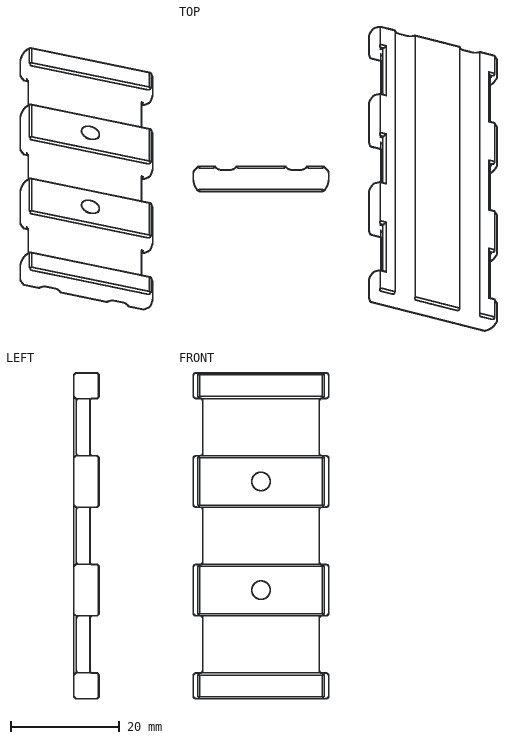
import cadquery as cq
import math

LENGTH = 60.0

BLOCK_WIDTH = 25.0
BLOCK_DEPTH = 4.7
BLOCK_HEIGHT = 9.5
BLOCK_PITCH = 20.0
BLOCK_CENTERS_Z = [(index - 1.5) * BLOCK_PITCH for index in range(4)]
BLOCK_BACK_CORNER_CHAMFER = 1.0
BLOCK_BACK_CORNER_FILLET = 1.0
BLOCK_SIDE_RADIUS = 3.5
BLOCK_SIDE_FLAT_END = 2.25
BLOCK_FRONT_CORNER_CHAMFER = 0.25
BLOCK_LONG_EDGE_CHAMFER = 0.4
BLOCK_END_FILLET = 0.6

BAR_WIDTH = 21.5
BAR_DEPTH = 3.0
BAR_BACK_CHAMFER = 0.5
BAR_SIDE_RADIUS = 2.0
ROOT_FILLET = 0.4

RECESS_HALF_WIDTH = 5.87
RECESS_DEPTH = 1.4
RECESS_FILLET = 1.1
RECESS_WALL_ANGLE = 45.0

GROOVE_X = 6.5
GROOVE_DEPTH = 0.7
GROOVE_HALF_WIDTH = 2.0
GROOVE_FLOOR_HALF_WIDTH = 0.8

HOLE_DIAMETER = 3.4
HOLE_DEPTH = 3.0

PICK_REACH = 0.01


def extrude_along_z(profile, z_low, z_high):
    return profile.extrude(z_high - z_low).translate((0, 0, z_low))


def box_selector(x_range, y_range, z_range, whole=False):
    """Picks edges centred in the box, or lying wholly inside it."""
    low = [limits[0] - PICK_REACH for limits in (x_range, y_range, z_range)]
    high = [limits[1] + PICK_REACH for limits in (x_range, y_range, z_range)]
    return cq.selectors.BoxSelector(low, high, boundingbox=whole)


def make_groove(center_x):
    """Flat-floored groove whose sides are arcs tangent to the floor."""
    run = GROOVE_HALF_WIDTH - GROOVE_FLOOR_HALF_WIDTH
    radius = (run**2 + GROOVE_DEPTH**2) / (2 * GROOVE_DEPTH)
    half_sweep = math.atan2(GROOVE_DEPTH, run)
    middle_x = GROOVE_FLOOR_HALF_WIDTH + radius * math.sin(half_sweep)
    middle_y = -GROOVE_DEPTH + radius * (1 - math.cos(half_sweep))
    profile = (
        cq.Workplane("XY")
        .moveTo(-GROOVE_FLOOR_HALF_WIDTH, -GROOVE_DEPTH)
        .lineTo(GROOVE_FLOOR_HALF_WIDTH, -GROOVE_DEPTH)
        .threePointArc((middle_x, middle_y), (GROOVE_HALF_WIDTH, 0))
        .lineTo(-GROOVE_HALF_WIDTH, 0)
        .threePointArc((-middle_x, middle_y), (-GROOVE_FLOOR_HALF_WIDTH, -GROOVE_DEPTH))
        .close()
    )
    return extrude_along_z(profile, -LENGTH / 2, LENGTH / 2).translate((center_x, 0, 0))


def cut_grooves(body):
    for center_x in (-GROOVE_X, GROOVE_X):
        body = body.cut(make_groove(center_x))
    return body


def block_profile():
    """Cross-section with chamfered back corners and sides that curve in towards the front."""
    half = BLOCK_WIDTH / 2
    arc_center_x = half - BLOCK_SIDE_RADIUS
    sweep = math.asin((BLOCK_DEPTH - BLOCK_SIDE_FLAT_END) / BLOCK_SIDE_RADIUS)
    front_x = arc_center_x + BLOCK_SIDE_RADIUS * math.cos(sweep)
    middle_x = arc_center_x + BLOCK_SIDE_RADIUS * math.cos(sweep / 2)
    middle_y = -BLOCK_SIDE_FLAT_END - BLOCK_SIDE_RADIUS * math.sin(sweep / 2)
    return (
        cq.Workplane("XY")
        .moveTo(-half + BLOCK_BACK_CORNER_CHAMFER, 0)
        .lineTo(half - BLOCK_BACK_CORNER_CHAMFER, 0)
        .lineTo(half, -BLOCK_BACK_CORNER_CHAMFER)
        .lineTo(half, -BLOCK_SIDE_FLAT_END)
        .threePointArc((middle_x, middle_y), (front_x, -BLOCK_DEPTH))
        .lineTo(-front_x, -BLOCK_DEPTH)
        .threePointArc((-middle_x, middle_y), (-half, -BLOCK_SIDE_FLAT_END))
        .lineTo(-half, -BLOCK_BACK_CORNER_CHAMFER)
        .close()
    )


def make_block(z_low, z_high):
    """Grooved block with chamfered front and back edges and filleted end outlines."""
    half = BLOCK_WIDTH / 2
    corner_y = -BLOCK_BACK_CORNER_CHAMFER
    z_range = (z_low, z_high)
    block = extrude_along_z(block_profile(), z_low, z_high)
    back_corners = box_selector((-half, half), (corner_y, corner_y), z_range)
    block = block.edges("|Z").edges(back_corners).fillet(BLOCK_BACK_CORNER_FILLET)
    block = block.faces("<Y").edges("|Z").chamfer(BLOCK_FRONT_CORNER_CHAMFER)
    for face in ("<Y", ">Y"):
        block = block.faces(face).edges("|X").chamfer(BLOCK_LONG_EDGE_CHAMFER)
    block = cut_grooves(block)

    ends = block.faces("<Z or >Z")
    groove_floors = box_selector((-half, half), (-GROOVE_DEPTH, -GROOVE_DEPTH), z_range)
    rounded_edges = ends.edges("not |X").vals() + ends.edges(groove_floors).vals()
    return block.newObject(rounded_edges).fillet(BLOCK_END_FILLET)


def make_bar():
    """Grooved bar with rounded front sides and a recess with S-shaped walls."""
    half = BAR_WIDTH / 2
    front_y = -BAR_DEPTH
    floor_y = front_y + RECESS_DEPTH
    wall_angle = math.radians(RECESS_WALL_ANGLE)
    arc_run = RECESS_FILLET * math.sin(wall_angle)
    arc_rise = RECESS_FILLET * (1 - math.cos(wall_angle))
    slope_run = (RECESS_DEPTH - 2 * arc_rise) / math.tan(wall_angle)
    slope_outer_x = RECESS_HALF_WIDTH - arc_run
    slope_inner_x = slope_outer_x - slope_run
    floor_half_width = slope_inner_x - arc_run
    half_profile = (
        cq.Workplane("XY")
        .lineTo(half - BAR_BACK_CHAMFER, 0)
        .lineTo(half, -BAR_BACK_CHAMFER)
        .lineTo(half, front_y + BAR_SIDE_RADIUS)
        .tangentArcPoint((half - BAR_SIDE_RADIUS, front_y), relative=False)
        .lineTo(RECESS_HALF_WIDTH, front_y)
        .tangentArcPoint((slope_outer_x, front_y + arc_rise), relative=False)
        .lineTo(slope_inner_x, floor_y - arc_rise)
        .tangentArcPoint((floor_half_width, floor_y), relative=False)
        .lineTo(0, floor_y)
        .close()
    )
    end_z = LENGTH / 2 - BLOCK_END_FILLET
    half_bar = extrude_along_z(half_profile, -end_z, end_z)
    return cut_grooves(half_bar.union(half_bar.mirror("YZ")))


def fillet_root(body, face_z):
    """Fillets the corner where the bar's front and sides meet a block face."""
    half = BAR_WIDTH / 2
    root = box_selector((-half, half), (-BAR_DEPTH, -BAR_BACK_CHAMFER), (face_z, face_z), whole=True)
    return body.edges(root).fillet(ROOT_FILLET)


def make_hole(center_z):
    hole = cq.Workplane("XZ", origin=(0, -BLOCK_DEPTH, center_z))
    return hole.circle(HOLE_DIAMETER / 2).extrude(-HOLE_DEPTH)


body = make_bar()
root_heights = []
for center_z in BLOCK_CENTERS_Z:
    bottom = max(center_z - BLOCK_HEIGHT / 2, -LENGTH / 2)
    top = min(center_z + BLOCK_HEIGHT / 2, LENGTH / 2)
    body = body.union(make_block(bottom, top))
    root_heights += [z for z in (bottom, top) if abs(z) < LENGTH / 2]

for root_z in root_heights:
    body = fillet_root(body, root_z)

for center_z in BLOCK_CENTERS_Z[1:-1]:
    body = body.cut(make_hole(center_z))

result = body